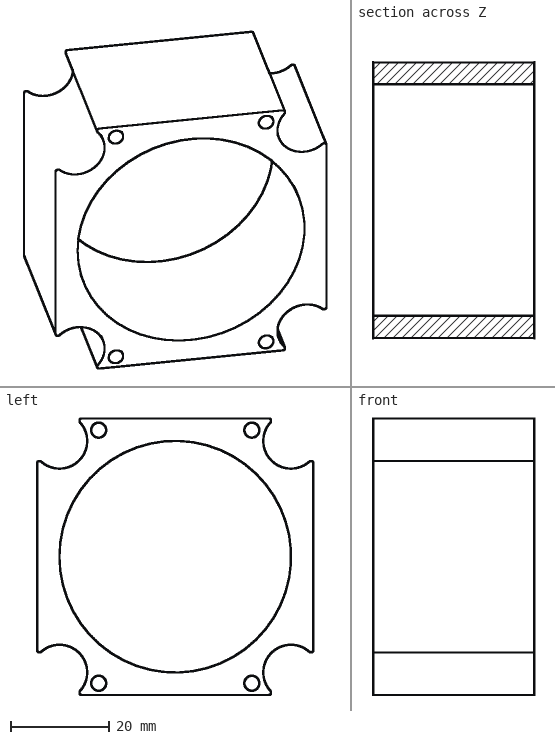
import cadquery as cq

length = 32.77
width = 56.13
height = 56.2
bore_diameter = 47.0
scallop_radius = 5.6
scallop_offset = 23.5
lip_radius = 0.5
hole_diameter = 3.0
hole_offset_y = 15.55
hole_offset_z = 25.7


def corner_points(offset_y, offset_z):
    """Four points mirrored about the Y and Z axes."""
    return [(sy * offset_y, sz * offset_z) for sy in (-1, 1) for sz in (-1, 1)]


def through_cylinders(points, diameter):
    """Cylinders parallel to X, as long as the part, at the given (Y, Z) points."""
    return (
        cq.Workplane("YZ", origin=(-length / 2, 0, 0))
        .pushPoints(points)
        .circle(diameter / 2)
        .extrude(length)
    )


def make_body():
    """Cross-shaped block with a round channel in each corner and rounded channel lips."""
    slab_span = 2 * scallop_offset
    tall_slab = cq.Workplane("XY").box(length, slab_span, height)
    wide_slab = cq.Workplane("XY").box(length, width, slab_span)
    block = tall_slab.union(wide_slab)
    channels = through_cylinders(corner_points(scallop_offset, scallop_offset), 2 * scallop_radius)
    return block.cut(channels).faces("%PLANE").edges("|X").fillet(lip_radius)


bore = through_cylinders([(0, 0)], bore_diameter)
screw_holes = through_cylinders(corner_points(hole_offset_y, hole_offset_z), hole_diameter)

result = make_body().cut(bore).cut(screw_holes)